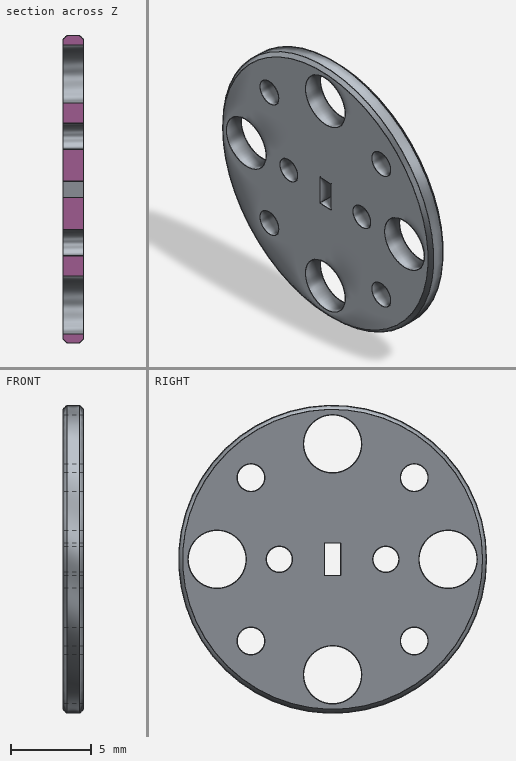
import cadquery as cq

disc_diameter = 19.05
thickness = 1.28
rim_chamfer = 0.25

pitch_radius = 7.15
large_hole_diameter = 3.58
small_hole_diameter = 1.7
holes_per_size = 4
hole_spacing_angle = 360 / holes_per_size

inner_hole_diameter = 1.6
inner_hole_offset = 3.3

slot_width = 1.0
slot_height = 2.0


def back_plane():
    """Sketch plane on the -X face of the disc."""
    return cq.Workplane("YZ", origin=(-thickness / 2, 0, 0))


def make_disc():
    """Disc centred on the origin, chamfered on both rims."""
    disc = back_plane().circle(disc_diameter / 2).extrude(thickness)
    return disc.faces("<X or >X").edges().chamfer(rim_chamfer)


def make_hole_ring(diameter, start_angle):
    """Cutters for evenly spaced through holes on the pitch circle."""
    return (
        back_plane()
        .polarArray(pitch_radius, start_angle, 360, holes_per_size)
        .circle(diameter / 2)
        .extrude(thickness)
    )


def make_inner_holes():
    """Cutters for the two through holes beside the slot."""
    return (
        back_plane()
        .pushPoints([(-inner_hole_offset, 0), (inner_hole_offset, 0)])
        .circle(inner_hole_diameter / 2)
        .extrude(thickness)
    )


def make_slot():
    """Cutter for the slot, which is taller along Z."""
    return back_plane().rect(slot_width, slot_height).extrude(thickness)


result = (
    make_disc()
    .cut(make_hole_ring(large_hole_diameter, 0))
    .cut(make_hole_ring(small_hole_diameter, hole_spacing_angle / 2))
    .cut(make_inner_holes())
    .cut(make_slot())
)